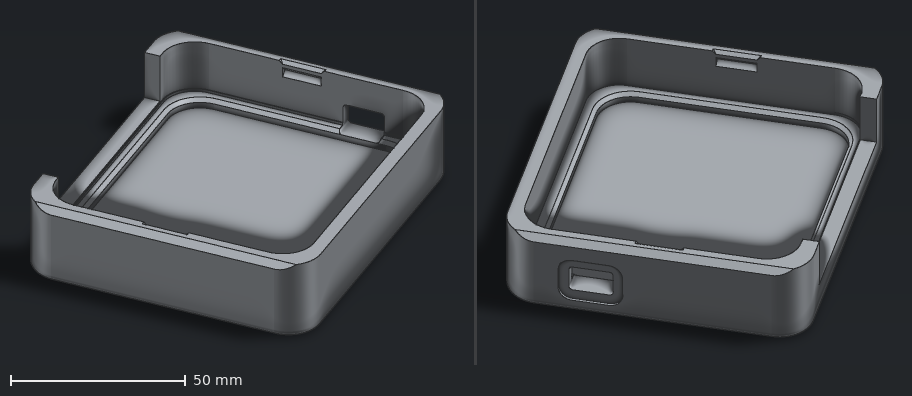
import cadquery as cq

LENGTH_X = 90.0
LENGTH_Y = 103.6
HEIGHT = 24.6
CORNER_RADIUS = 10.0
EDGE_SIZE = 2.0

CAVITY_X_MIN = -40.1
CAVITY_X_MAX = 40.8
CAVITY_Y_MIN = -47.0
CAVITY_Y_MAX = 47.2
STEP_WIDTH = 0.26
STEP_Z = 8.8
LEDGE_Z = 8.0

POCKET_X = 73.9
POCKET_Y = 87.6
POCKET_BEVEL = 1.1
FLOOR_Z = 5.0

OPENING_WIDTH = 70.5
OPENING_Z = 9.3

WINDOW_X = 18.3
WINDOW_WIDTH = 13.0
WINDOW_BOTTOM = LEDGE_Z - POCKET_BEVEL
WINDOW_TOP = 14.9
WINDOW_RADIUS = 1.1
RECESS_MARGIN = 3.0
RECESS_RADIUS = 8.2 / 2
RECESS_DEPTH = 0.9

SNAP_X = -1.0
SNAP_LENGTH = 12.0
SNAP_Z = 20.8
SNAP_DEPTH = 1.6
LEAD_IN = 1.0


def rounded_block(x_min, x_max, y_min, y_max, z_min, z_max, radius=CORNER_RADIUS):
    """Upright block with rounded vertical edges."""
    return (
        cq.Workplane("XY", origin=((x_min + x_max) / 2, (y_min + y_max) / 2, z_min))
        .rect(x_max - x_min, y_max - y_min)
        .extrude(z_max - z_min)
        .edges("|Z")
        .fillet(radius)
    )


def outer_body():
    """Rounded block with a rounded bottom and bevelled -Y and +Y top edges."""
    body = rounded_block(-LENGTH_X / 2, LENGTH_X / 2, -LENGTH_Y / 2, LENGTH_Y / 2, 0, HEIGHT)
    body = body.faces("<Z").edges().fillet(EDGE_SIZE)
    for side in (-1, 1):
        bevel = (
            cq.Workplane("YZ")
            .polyline([
                (side * LENGTH_Y / 2, HEIGHT),
                (side * LENGTH_Y / 2, HEIGHT - EDGE_SIZE),
                (side * (LENGTH_Y / 2 - EDGE_SIZE), HEIGHT),
            ])
            .close()
            .extrude(LENGTH_X / 2, both=True)
        )
        body = body.cut(bevel)
    return body


def cavity():
    """Main cavity, its narrow step and the bevelled lower pocket."""
    upper = rounded_block(CAVITY_X_MIN, CAVITY_X_MAX, CAVITY_Y_MIN, CAVITY_Y_MAX, STEP_Z, HEIGHT)
    lower = rounded_block(
        CAVITY_X_MIN + STEP_WIDTH,
        CAVITY_X_MAX,
        CAVITY_Y_MIN,
        CAVITY_Y_MAX - STEP_WIDTH,
        LEDGE_Z,
        HEIGHT,
        CORNER_RADIUS - STEP_WIDTH,
    )
    pocket = rounded_block(-POCKET_X / 2, POCKET_X / 2, -POCKET_Y / 2, POCKET_Y / 2, FLOOR_Z, LEDGE_Z)
    bevel = (
        cq.Workplane("XY", origin=(0, 0, LEDGE_Z - POCKET_BEVEL))
        .sketch()
        .rect(POCKET_X, POCKET_Y)
        .vertices()
        .fillet(CORNER_RADIUS)
        .finalize()
        .extrude(POCKET_BEVEL, taper=-45)
    )
    return upper.union(lower).union(pocket).union(bevel)


def side_opening():
    """Cut that lowers the middle of the -X wall."""
    return cq.Workplane("XY").box(
        LENGTH_X / 2, OPENING_WIDTH, HEIGHT - OPENING_Z, centered=(False, True, False)
    ).translate((-LENGTH_X / 2, 0, OPENING_Z))


def rounded_slot(width, height, radius, depth):
    """Rounded rectangle cut inward from the +Y face, centred on the window."""
    return (
        cq.Workplane("XZ", origin=(WINDOW_X, LENGTH_Y / 2, (WINDOW_BOTTOM + WINDOW_TOP) / 2))
        .rect(width, height)
        .extrude(depth)
        .edges("|Y")
        .fillet(radius)
    )


def window():
    """Window from the outer face to the lower pocket, with a recess around its outer end."""
    height = WINDOW_TOP - WINDOW_BOTTOM
    opening = rounded_slot(WINDOW_WIDTH, height, WINDOW_RADIUS, (LENGTH_Y - POCKET_Y) / 2)
    recess = rounded_slot(
        WINDOW_WIDTH + 2 * RECESS_MARGIN, height + 2 * RECESS_MARGIN, RECESS_RADIUS, RECESS_DEPTH
    )
    return opening.union(recess)


def snap(wall_y, side):
    """V groove in a wall with a flared lead-in bevel above it."""
    groove = (
        cq.Workplane("YZ", origin=(SNAP_X, 0, SNAP_Z))
        .polyline([(wall_y, -SNAP_DEPTH), (wall_y + side * SNAP_DEPTH, 0), (wall_y, SNAP_DEPTH)])
        .close()
        .extrude(SNAP_LENGTH / 2, both=True)
    )
    lead_in = (
        cq.Workplane("XY", origin=(SNAP_X, wall_y - side * LEAD_IN, HEIGHT))
        .rect(SNAP_LENGTH + 2 * LEAD_IN, 4 * LEAD_IN)
        .extrude(-LEAD_IN, taper=45)
    )
    return groove.union(lead_in)


result = (
    outer_body()
    .cut(cavity())
    .cut(side_opening())
    .cut(window())
    .cut(snap(CAVITY_Y_MIN, -1))
    .cut(snap(CAVITY_Y_MAX, 1))
)